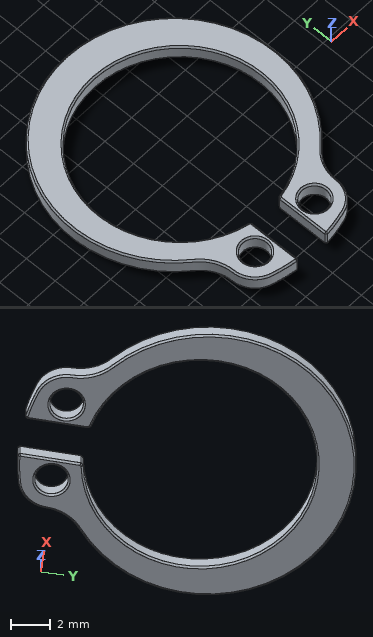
import cadquery as cq
import math

overall_length = 17.18
outer_radius = 7.55
thickness = 1.0
edge_chamfer = 0.1

bore_radius = 5.96
bore_offset = 0.41

half_gap = 1.03
lug_radius = 1.68
hole_x = 2.22
hole_diameter = 1.7

tip_y = outer_radius - overall_length
tip_radius = math.hypot(half_gap + edge_chamfer, tip_y)

hole_distance = tip_radius - lug_radius
hole_y = -math.sqrt(hole_distance**2 - hole_x**2)

lug_side_x = hole_x + lug_radius
neck_radius = (lug_side_x**2 + hole_y**2 - outer_radius**2) / (2 * (outer_radius - lug_side_x))
neck_x = lug_side_x + neck_radius


def on_circle(center_x, center_y, radius, angle):
    return center_x + radius * math.cos(angle), center_y + radius * math.sin(angle)


def mirrored(point):
    return -point[0], point[1]


neck_angle = math.atan2(hole_y, neck_x)
hole_angle = math.atan2(hole_y, hole_x)
tip_angle = -math.acos(half_gap / tip_radius)

rim_end = on_circle(0, 0, outer_radius, neck_angle)
neck_mid = on_circle(neck_x, hole_y, neck_radius, math.pi + neck_angle / 2)
lug_side = (lug_side_x, hole_y)
lug_mid = on_circle(hole_x, hole_y, lug_radius, hole_angle / 2)
lug_end = on_circle(0, 0, tip_radius, hole_angle)
tip_mid = on_circle(0, 0, tip_radius, (hole_angle + tip_angle) / 2)
tip_corner = (half_gap, -math.sqrt(tip_radius**2 - half_gap**2))
bore_corner = (half_gap, -bore_offset - math.sqrt(bore_radius**2 - half_gap**2))

ring = (
    cq.Workplane("XY")
    .moveTo(*rim_end)
    .threePointArc((0, outer_radius), mirrored(rim_end))
    .threePointArc(mirrored(neck_mid), mirrored(lug_side))
    .threePointArc(mirrored(lug_mid), mirrored(lug_end))
    .threePointArc(mirrored(tip_mid), mirrored(tip_corner))
    .lineTo(*mirrored(bore_corner))
    .threePointArc((0, bore_radius - bore_offset), bore_corner)
    .lineTo(*tip_corner)
    .threePointArc(tip_mid, lug_end)
    .threePointArc(lug_mid, lug_side)
    .threePointArc(neck_mid, rim_end)
    .close()
    .extrude(thickness)
)

gap_zone = cq.selectors.BoxSelector(
    (-lug_radius, -overall_length, 0),
    (lug_radius, 0, thickness),
)
ring = ring.edges("|Z").edges(gap_zone).chamfer(edge_chamfer)

holes = (
    cq.Workplane("XY")
    .pushPoints([(-hole_x, hole_y), (hole_x, hole_y)])
    .circle(hole_diameter / 2)
    .extrude(thickness)
)

result = ring.cut(holes).faces("|Z").edges().chamfer(edge_chamfer)